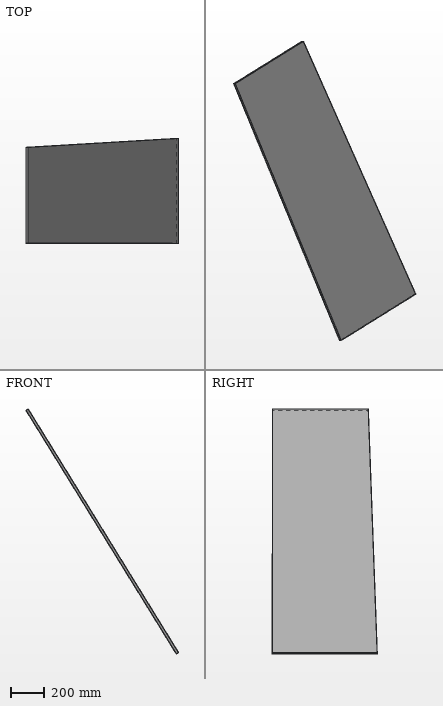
import cadquery as cq
import math

size_x = 925.0
size_y = 637.0
size_z = 1485.0

thickness = 16.0
top_width = 582.0
front_drop = 0.9

tilt_refinements = 20

diagonal_angle = math.atan2(size_z, size_x)
tilt = diagonal_angle
for _ in range(tilt_refinements):
    offset = -thickness * math.cos(2 * tilt) / math.hypot(size_x, size_z)
    tilt = diagonal_angle + math.asin(offset)
length = (size_z - thickness * math.cos(tilt)) / math.sin(tilt)

outline = [
    (0, front_drop),
    (length, 0),
    (length, size_y),
    (0, front_drop + top_width),
]
panel = cq.Workplane("XY").polyline(outline).close().extrude(thickness)

tilted = panel.rotate((0, 0, 0), (0, 1, 0), math.degrees(tilt))

result = tilted.translate((0, 0, length * math.sin(tilt)))